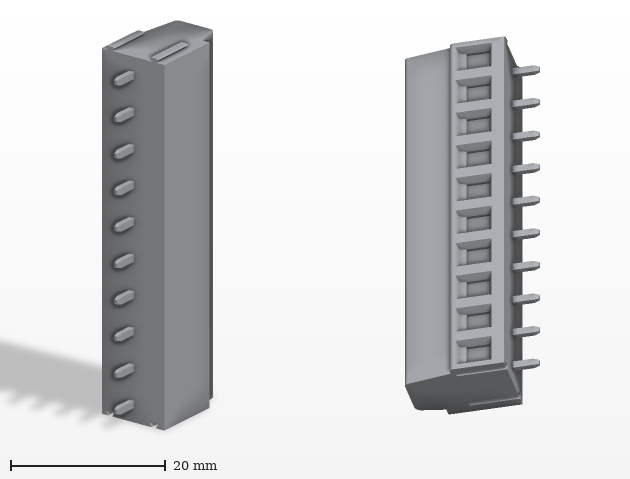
import cadquery as cq

pole_count = 10
total_length = 51.4
body_length = 50.85
body_width = 10.0
body_depth = 13.8
pole_pitch = body_length / pole_count

front_shelf_y = 7.35
front_shelf_width = 0.9
rear_shelf_y = 9.85
rear_shelf_width = 1.2
top_left_x = 1.95
top_right_x = 8.05
shelf_radius = 0.6
left_crown_radius = 0.55
right_crown_radius = 1.0

pin_x = 4.85
pin_width_x = 0.75
pin_width_z = 1.0
pin_length = 3.55
tip_length = 0.7
tip_width_x = 0.4
tip_width_z = 0.6
pin_root = 0.5

funnel_bottom_y = 1.65
funnel_top_y = 6.5
funnel_height = 3.65
funnel_depth = 1.05
funnel_taper = 0.5
lip_depth = 0.5
lip_drop = 0.2
ramp_start_depth = 0.85
ramp_top_y = 6.0
ramp_corner_radius = 0.6
recess_top_y = 5.25
recess_depth = 0.45

dovetail_centers_x = (1.35, 8.35)
dovetail_length = 6.75
dovetail_base_width = 0.65
dovetail_wide_width = 1.2
dovetail_top_width = 0.9
rib_height = total_length - body_length
rib_wide_height = 0.35
groove_depth = 0.75
groove_wide_depth = 0.5


def make_body():
    outline = [
        (0, 0),
        (0, front_shelf_y),
        (front_shelf_width, front_shelf_y),
        (top_left_x, body_depth),
        (top_right_x, body_depth),
        (body_width - rear_shelf_width, rear_shelf_y),
        (body_width, rear_shelf_y),
        (body_width, 0),
    ]
    body = cq.Workplane("XY").polyline(outline).close().extrude(body_length)
    rounded_edges = [
        (0, front_shelf_y, shelf_radius),
        (top_left_x, body_depth, left_crown_radius),
        (top_right_x, body_depth, right_crown_radius),
    ]
    for edge_x, edge_y, radius in rounded_edges:
        edge = cq.selectors.NearestToPointSelector((edge_x, edge_y, body_length / 2))
        body = body.edges(edge).fillet(radius)
    return body


def make_pin(center_z):
    shank_length = pin_length - tip_length
    shank = cq.Workplane("XY").box(pin_width_x, shank_length + pin_root, pin_width_z)
    shank = shank.translate((pin_x, (pin_root - shank_length) / 2, center_z))
    tip = (
        cq.Workplane("XZ", origin=(pin_x, -shank_length, center_z))
        .rect(pin_width_x, pin_width_z)
        .workplane(offset=tip_length)
        .rect(tip_width_x, tip_width_z)
        .loft()
    )
    return shank.union(tip)


def make_wire_entry(center_z):
    floor_bottom_y = funnel_bottom_y + funnel_taper
    floor_height = funnel_height - 2 * funnel_taper
    height_profile = [
        (0, center_z - funnel_height / 2),
        (0, center_z + funnel_height / 2),
        (funnel_depth, center_z + floor_height / 2),
        (funnel_depth, center_z - floor_height / 2),
    ]
    prism = (
        cq.Workplane("XY", origin=(0, 0, center_z - funnel_height / 2))
        .moveTo(0, funnel_bottom_y)
        .lineTo(0, funnel_top_y)
        .lineTo(lip_depth, funnel_top_y - lip_drop)
        .radiusArc((ramp_start_depth, ramp_top_y), ramp_corner_radius)
        .lineTo(funnel_depth, recess_top_y)
        .lineTo(funnel_depth, floor_bottom_y)
        .close()
        .extrude(funnel_height)
    )
    tapered_slab = cq.Workplane("XZ").polyline(height_profile).close().extrude(-body_depth)
    recess = cq.Workplane("XY").box(
        recess_depth, recess_top_y - floor_bottom_y, floor_height, centered=(False, False, True)
    )
    recess = recess.translate((funnel_depth, floor_bottom_y, center_z))
    return prism.intersect(tapered_slab).union(recess)


def make_dovetail(center_x, base_z, height, wide_height):
    outline = [
        (center_x - dovetail_base_width / 2, base_z),
        (center_x - dovetail_wide_width / 2, base_z + wide_height),
        (center_x - dovetail_top_width / 2, base_z + height),
        (center_x + dovetail_top_width / 2, base_z + height),
        (center_x + dovetail_wide_width / 2, base_z + wide_height),
        (center_x + dovetail_base_width / 2, base_z),
    ]
    return cq.Workplane("XZ").polyline(outline).close().extrude(-dovetail_length)


result = make_body()

for dovetail_x in dovetail_centers_x:
    result = result.union(make_dovetail(dovetail_x, body_length, rib_height, rib_wide_height))
    result = result.cut(make_dovetail(dovetail_x, 0, groove_depth, groove_wide_depth))

for pole in range(pole_count):
    pole_z = (pole + 0.5) * pole_pitch
    result = result.cut(make_wire_entry(pole_z))
    result = result.union(make_pin(pole_z))